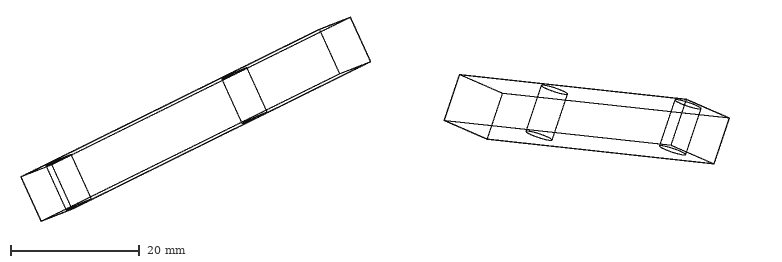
import cadquery as cq

bar_length = 64.74
bar_width = 8.62
bar_thickness = 7.62
tilt_angle = 30.0

hole_diameter = 4.27
first_hole_from_end = 3.81
hole_spacing = 38.1
hole_from_back = 2.99
hole_count = 2
hole_positions = [
    (first_hole_from_end + index * hole_spacing, bar_width - hole_from_back)
    for index in range(hole_count)
]


def make_bar():
    """Plain rectangular bar with its lower corner at the origin."""
    return cq.Workplane("XY").box(bar_length, bar_width, bar_thickness, centered=False)


def make_holes():
    """Round cutters running through the thickness of the bar."""
    return (
        cq.Workplane("XY")
        .pushPoints(hole_positions)
        .circle(hole_diameter / 2)
        .extrude(bar_thickness)
    )


result = make_bar().cut(make_holes()).rotate((0, 0, 0), (0, 1, 0), -tilt_angle)